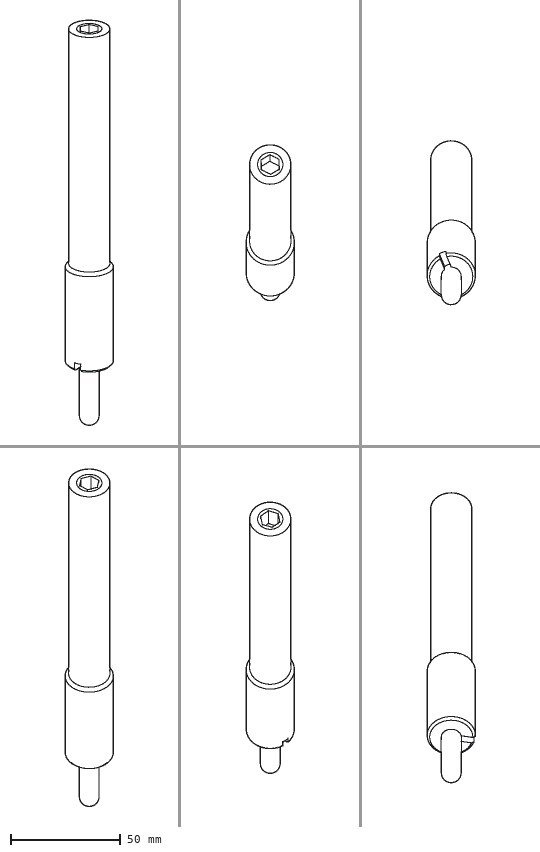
import cadquery as cq
import math

TOTAL_HEIGHT = 199.0
COLLAR_DIAMETER = 22.0
SHAFT_DIAMETER = 19.0
COLLAR_BOTTOM = 30.8
COLLAR_TOP = 81.0
BOTTOM_CHAMFER = 1.2
TOP_CHAMFER = (COLLAR_DIAMETER - SHAFT_DIAMETER) / 2

NOTCH_WIDTH = 3.2
NOTCH_HEIGHT = 4.2

SPINDLE_DIAMETER = 11.5
PIN_DIAMETER = 9.2

SOCKET_ACROSS_FLATS = 8.2
SOCKET_ACROSS_CORNERS = SOCKET_ACROSS_FLATS / math.cos(math.radians(30))
SOCKET_DEPTH = 10.0
SOCKET_CONE_ANGLE = 118.0


def cylinder(diameter, bottom, top):
    """Upright cylinder on the common axis."""
    return cq.Workplane("XY").workplane(offset=bottom).circle(diameter / 2).extrude(top - bottom)


def stepped_bore():
    """Space inside the sleeve that the spindle fills."""
    narrow = cylinder(PIN_DIAMETER, COLLAR_BOTTOM, COLLAR_TOP)
    wide = cylinder(SPINDLE_DIAMETER, COLLAR_TOP, TOTAL_HEIGHT)
    return narrow.union(wide)


def front_notch():
    """Box reaching from the axis out through the -Y side of the collar."""
    return cq.Workplane("XY").workplane(offset=COLLAR_BOTTOM).box(
        NOTCH_WIDTH, COLLAR_DIAMETER, NOTCH_HEIGHT, centered=(True, False, False)
    ).translate((0, -COLLAR_DIAMETER, 0))


def make_sleeve():
    collar = cylinder(COLLAR_DIAMETER, COLLAR_BOTTOM, COLLAR_TOP)
    collar = collar.faces("<Z").chamfer(BOTTOM_CHAMFER)
    collar = collar.faces(">Z").chamfer(TOP_CHAMFER)
    shaft = cylinder(SHAFT_DIAMETER, COLLAR_BOTTOM + BOTTOM_CHAMFER, TOTAL_HEIGHT)
    return collar.union(shaft).cut(stepped_bore()).cut(front_notch())


def hex_socket():
    """Hexagonal prism whose lower end is trimmed to a drill-point cone."""
    corner_radius = SOCKET_ACROSS_CORNERS / 2
    cone_height = corner_radius / math.tan(math.radians(SOCKET_CONE_ANGLE / 2))
    cone_base = TOTAL_HEIGHT - SOCKET_DEPTH
    cone_tip = cone_base - cone_height
    prism = (
        cq.Workplane("XY").workplane(offset=cone_tip)
        .polygon(6, SOCKET_ACROSS_CORNERS)
        .extrude(TOTAL_HEIGHT - cone_tip)
    )
    drill = (
        cq.Workplane("XZ")
        .moveTo(0, cone_tip)
        .lineTo(corner_radius, cone_base)
        .lineTo(corner_radius, TOTAL_HEIGHT)
        .lineTo(0, TOTAL_HEIGHT)
        .close()
        .revolve(360, (0, 0, 0), (0, 1, 0))
    )
    return prism.intersect(drill)


def make_spindle():
    tip_radius = PIN_DIAMETER / 2
    tip_arc_middle = (tip_radius * math.sqrt(0.5), tip_radius * (1 - math.sqrt(0.5)))
    spindle = (
        cq.Workplane("XZ")
        .moveTo(0, 0)
        .threePointArc(tip_arc_middle, (tip_radius, tip_radius))
        .lineTo(tip_radius, COLLAR_TOP)
        .lineTo(SPINDLE_DIAMETER / 2, COLLAR_TOP)
        .lineTo(SPINDLE_DIAMETER / 2, TOTAL_HEIGHT)
        .lineTo(0, TOTAL_HEIGHT)
        .close()
        .revolve(360, (0, 0, 0), (0, 1, 0))
    )
    return spindle.cut(hex_socket())


sleeve = make_sleeve()
spindle = make_spindle()
result = cq.Compound.makeCompound([sleeve.val(), spindle.val()])